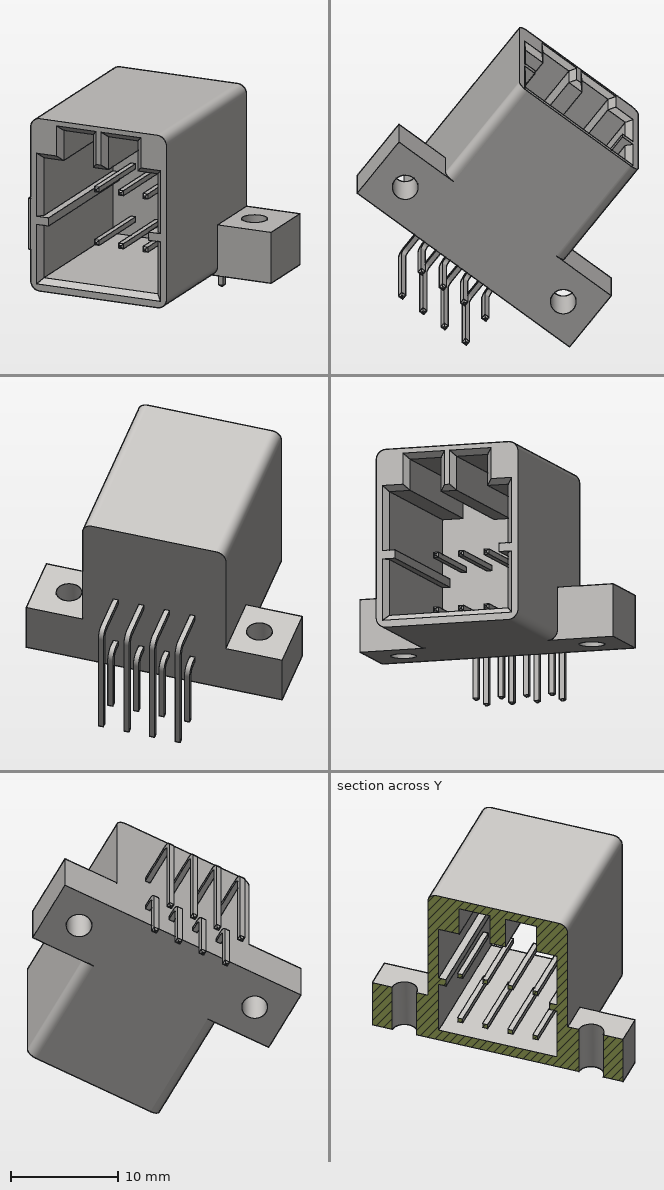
import cadquery as cq


body_width = 14.0
body_depth = 17.7
body_height = 16.9
body_corner_radius = 0.95

cavity_width = 11.72
cavity_floor_z = 1.2
cavity_shoulder_z = 12.95
cavity_top_z = 15.9
key_span = 7.65
key_rib_width = 1.55
key_rib_tip_z = 12.68
lead_in = 0.52
rear_wall = 2.0
cavity_depth = body_depth - rear_wall

guide_rib_bottom_z = 6.5
guide_rib_height = 0.8
guide_rib_reach = 1.85

ear_span = 25.0
ear_depth = 6.4
ear_height = 5.0
ear_hole_diameter = 2.4
ear_hole_spacing = 18.6

pin_size = 0.5
pin_columns = 4
pin_pitch = 2.5
pin_tip_y = 7.48
pin_tip_taper = 0.18
pin_bottom_z = -3.7
pin_bend_outer_radius = 1.0
upper_row_z = 8.08
upper_row_overhang = 4.75
lower_row_z = 2.88
lower_row_overhang = 1.75


def make_body():
    shroud = (
        cq.Workplane("XY")
        .box(body_width, body_depth, body_height, centered=(True, False, False))
        .edges("|Y")
        .fillet(body_corner_radius)
    )
    ears = (
        cq.Workplane("XY")
        .box(ear_span, ear_depth, ear_height, centered=(True, False, False))
        .translate((0, body_depth - ear_depth, 0))
    )
    holes = (
        cq.Workplane("XY")
        .pushPoints([(side * ear_hole_spacing / 2, body_depth - ear_depth / 2) for side in (-1, 1)])
        .circle(ear_hole_diameter / 2)
        .extrude(ear_height)
    )
    return shroud.union(ears.cut(holes))


def cavity_outline(grow):
    """Closed stepped outline of the cavity in the mating face, offset outwards by grow."""
    half_width = cavity_width / 2 + grow
    half_key_span = key_span / 2 + grow
    half_rib = key_rib_width / 2 - grow
    floor_z = cavity_floor_z - grow
    shoulder_z = cavity_shoulder_z + grow
    top_z = cavity_top_z + grow
    rib_tip_z = key_rib_tip_z + grow
    right_side = [
        (half_width, floor_z),
        (half_width, shoulder_z),
        (half_key_span, shoulder_z),
        (half_key_span, top_z),
        (half_rib, top_z),
        (half_rib, rib_tip_z),
    ]
    left_side = [(-x, z) for x, z in reversed(right_side)]
    return cq.Wire.makePolygon([cq.Vector(x, 0, z) for x, z in right_side + left_side], close=True)


def make_cavity():
    inner = cavity_outline(0)
    straight = cq.Solid.extrudeLinear(inner, [], cq.Vector(0, cavity_depth, 0))
    mouth = cavity_outline(lead_in)
    funnel = cq.Solid.makeLoft([mouth, inner.moved(cq.Location(cq.Vector(0, lead_in, 0)))], True)
    return cq.Workplane(straight).union(cq.Workplane(funnel))


def make_guide_rib(side):
    """Rib from the outer wall inwards, full cavity depth; side is -1 or 1."""
    return (
        cq.Workplane("XY")
        .box(guide_rib_reach, body_depth, guide_rib_height, centered=(True, False, False))
        .translate((side * (body_width - guide_rib_reach) / 2, 0, guide_rib_bottom_z))
    )


def make_pin(x, row_z, overhang):
    """Square pin running back through the rear wall, then bent down behind the body."""
    rear_y = body_depth + overhang
    top_z = row_z + pin_size / 2
    inner_radius = pin_bend_outer_radius - pin_size
    pin = (
        cq.Workplane("YZ", origin=(x, 0, 0))
        .moveTo(pin_tip_y, top_z)
        .lineTo(rear_y - pin_bend_outer_radius, top_z)
        .radiusArc((rear_y, top_z - pin_bend_outer_radius), pin_bend_outer_radius)
        .lineTo(rear_y, pin_bottom_z)
        .lineTo(rear_y - pin_size, pin_bottom_z)
        .lineTo(rear_y - pin_size, top_z - pin_bend_outer_radius)
        .radiusArc((rear_y - pin_bend_outer_radius, top_z - pin_size), -inner_radius)
        .lineTo(pin_tip_y, top_z - pin_size)
        .close()
        .extrude(pin_size / 2, both=True)
    )
    return pin.faces("<Y or <Z").chamfer(pin_tip_taper)


result = make_body().cut(make_cavity())
for side in (-1, 1):
    result = result.union(make_guide_rib(side))
for column in range(pin_columns):
    pin_x = (column - (pin_columns - 1) / 2) * pin_pitch
    result = result.union(make_pin(pin_x, upper_row_z, upper_row_overhang))
    result = result.union(make_pin(pin_x, lower_row_z, lower_row_overhang))